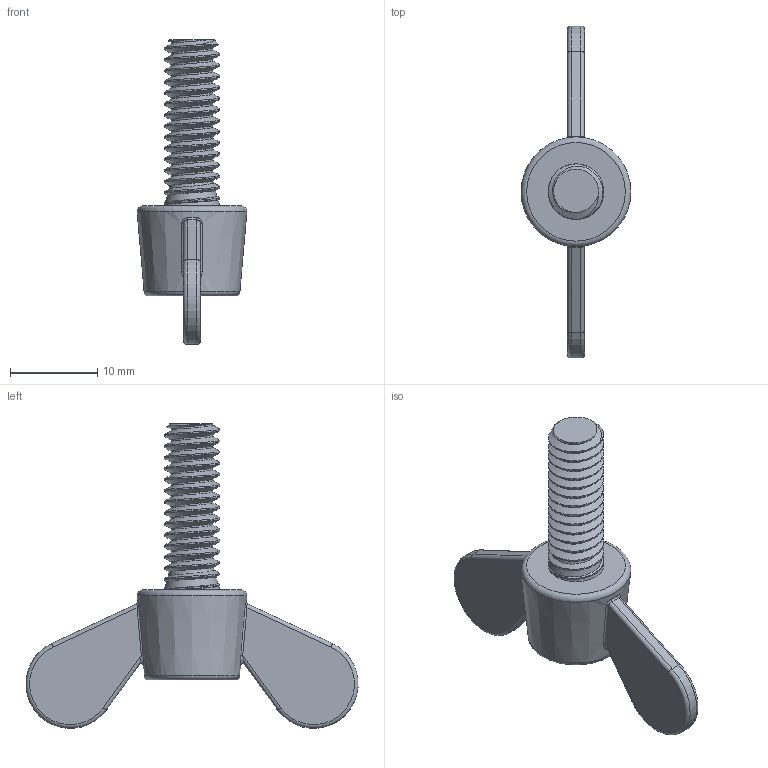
import cadquery as cq
import math


hub_top_radius = 6.35
hub_height = 10.32
hub_draft = 5.0
hub_top_round = 0.635
hub_bottom_round = 0.6
hub_bottom_radius = hub_top_radius - hub_height * math.tan(math.radians(hub_draft))

wing_span = 38.09
wing_tip_radius = 5.1
wing_bottom_z = -15.87
wing_thickness = 1.95
wing_edge_round = 0.43
wing_root_fillet = 0.25
wing_upper_slope = 25.0
wing_lower_slope = 54.0
wing_root_y = 4.0
wing_tip_y = wing_span / 2 - wing_tip_radius
wing_tip_z = wing_bottom_z + wing_tip_radius

stud_radius = 6.35 / 2
stud_length = 19.05
thread_pitch = 25.4 / 20
thread_depth = 0.78
thread_flank_angle = 30.0
thread_crest_width = thread_pitch / 8
thread_phase_z = 0.24
thread_runout_height = 2.8
stud_chamfer = 0.6
groove_overshoot = 0.05
root_radius = stud_radius - thread_depth


def make_hub():
    """Tapered hub, wider at the top, with both rims rounded."""
    hub = (
        cq.Workplane("XZ")
        .moveTo(0, 0)
        .lineTo(hub_top_radius, 0)
        .lineTo(hub_bottom_radius, -hub_height)
        .lineTo(0, -hub_height)
        .close()
        .revolve(360, (0, 0, 0), (0, 1, 0))
    )
    hub = hub.faces(">Z").edges().fillet(hub_top_round)
    return hub.faces("<Z").edges().fillet(hub_bottom_round)


def tip_point(angle):
    """Point on the tip circle, as (y, z), at an angle in degrees from +Y."""
    turn = math.radians(angle)
    return (
        wing_tip_y + wing_tip_radius * math.cos(turn),
        wing_tip_z + wing_tip_radius * math.sin(turn),
    )


def root_point(tangent_point, slope):
    """Where the straight side through a tangent point meets the wing's inner end."""
    rise = (tangent_point[0] - wing_root_y) * math.tan(math.radians(slope))
    return (wing_root_y, tangent_point[1] + rise)


def make_wing():
    """The +Y wing: two straight sides tangent to a round tip."""
    upper_tangent = tip_point(90 - wing_upper_slope)
    lower_tangent = tip_point(-90 - wing_lower_slope)
    outermost = tip_point((-wing_upper_slope - wing_lower_slope) / 2)
    wing = (
        cq.Workplane("YZ")
        .moveTo(*root_point(upper_tangent, wing_upper_slope))
        .lineTo(*upper_tangent)
        .threePointArc(outermost, lower_tangent)
        .lineTo(*root_point(lower_tangent, wing_lower_slope))
        .close()
        .extrude(wing_thickness / 2, both=True)
    )
    return wing.faces("<X or >X").edges("not <Y").fillet(wing_edge_round)


def make_runout_cone():
    """Cone on the hub that fills the groove gradually; its apex lies inside the stud core."""
    cone_height = thread_runout_height * stud_radius / thread_depth
    return (
        cq.Workplane("XZ")
        .lineTo(stud_radius, 0)
        .lineTo(0, cone_height)
        .close()
        .revolve(360, (0, 0, 0), (0, 1, 0))
    )


def make_groove():
    """Right-hand helical V groove, running past the free end of the stud."""
    flank_slope = math.tan(math.radians(thread_flank_angle))
    crest_half = (thread_pitch - thread_crest_width) / 2
    root_half = crest_half - thread_depth * flank_slope
    outer_half = crest_half + groove_overshoot * flank_slope
    outer_radius = stud_radius + groove_overshoot
    start_z = thread_phase_z - thread_pitch
    turns = math.ceil(stud_length / thread_pitch) + 2
    helix = cq.Wire.makeHelix(thread_pitch, turns * thread_pitch, stud_radius)
    groove = (
        cq.Workplane("XZ")
        .moveTo(root_radius, -root_half)
        .lineTo(outer_radius, -outer_half)
        .lineTo(outer_radius, outer_half)
        .lineTo(root_radius, root_half)
        .close()
        .sweep(cq.Workplane(obj=helix), isFrenet=True)
    )
    return groove.translate((0, 0, start_z))


def make_stud():
    """Chamfered threaded stud, its thread fading out at the hub."""
    blank = cq.Workplane("XY").circle(stud_radius).extrude(stud_length)
    blank = blank.faces(">Z").edges().chamfer(stud_chamfer)
    return blank.cut(make_groove()).union(make_runout_cone())


def make_handle():
    """Hub with both wings, filleted where the wings meet the hub."""
    wing = make_wing()
    handle = make_hub().union(wing).union(wing.mirror("XZ"))
    for side in (1, -1):
        root_zone = cq.selectors.BoxSelector(
            (-wing_thickness, side * hub_bottom_radius, -hub_height),
            (wing_thickness, side * hub_top_radius, 0),
        )
        handle = handle.edges(root_zone).fillet(wing_root_fillet)
    return handle


result = make_handle().union(make_stud())